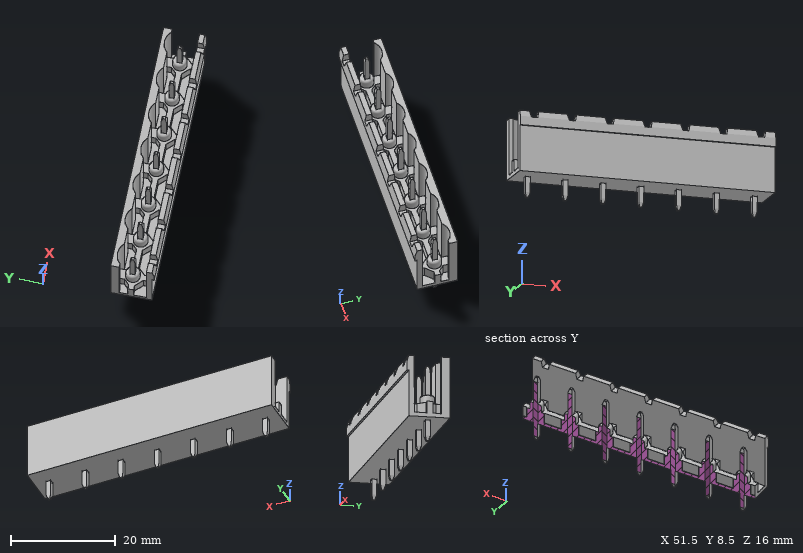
import cadquery as cq

PIN_COUNT = 7
PITCH = 7.62
END_MARGIN = 2.9
LENGTH = (PIN_COUNT - 1) * PITCH + 2 * END_MARGIN

HOUSING_HEIGHT = 12.0
FLOOR_THICKNESS = 0.8
BACK_OUTER_Y = 3.8
BACK_INNER_Y = 2.1
FRONT_INNER_Y = -3.2
FRONT_OUTER_Y = -4.3
SCALLOP_RADIUS = 3.0

LIP_FRONT_Y = -4.7
LIP_BOTTOM_Z = 9.0
LIP_BEVEL_Z = 10.7
NOTCH_TOP_WIDTH = 1.85
NOTCH_BOTTOM_WIDTH = 1.2

PLATFORM_TOP_Z = 3.1
RIB_BACK_Y = 0.45
RIB_FRONT_Y = -0.7
PLATFORM_HALF_WIDTH = 2.0
BACK_ARM_HALF_WIDTH = 1.0
FRONT_ARM_HALF_WIDTH = 0.55

BOSS_DIAMETER = 2.8
BOSS_TOP_Z = 4.8
BOSS_FILLET = 0.5

PIN_WIDTH = 1.0
PIN_TIP_WIDTH = 0.5
PIN_TIP_LENGTH = 0.9
PIN_BOTTOM_Z = -4.0
PIN_TOP_Z = 10.7

first_pin_x = -(PIN_COUNT - 1) * PITCH / 2
pin_positions = [first_pin_x + i * PITCH for i in range(PIN_COUNT)]


def make_trough():
    """U-shaped section with the latch lip, open at both ends."""
    section = [
        (BACK_OUTER_Y, 0),
        (BACK_OUTER_Y, HOUSING_HEIGHT),
        (BACK_INNER_Y, HOUSING_HEIGHT),
        (BACK_INNER_Y, FLOOR_THICKNESS),
        (FRONT_INNER_Y, FLOOR_THICKNESS),
        (FRONT_INNER_Y, HOUSING_HEIGHT),
        (FRONT_OUTER_Y, HOUSING_HEIGHT),
        (LIP_FRONT_Y, LIP_BEVEL_Z),
        (LIP_FRONT_Y, LIP_BOTTOM_Z),
        (FRONT_OUTER_Y, LIP_BOTTOM_Z),
        (FRONT_OUTER_Y, 0),
    ]
    return cq.Workplane("YZ").polyline(section).close().extrude(LENGTH / 2, both=True)


def make_scallop(x):
    """Cutter that hollows the back wall above the floor."""
    return (
        cq.Workplane("XY", origin=(x, 0, FLOOR_THICKNESS))
        .circle(SCALLOP_RADIUS)
        .extrude(HOUSING_HEIGHT - FLOOR_THICKNESS)
    )


def make_notch(x):
    """Tapered cutter through the top of the front wall."""
    half_top = NOTCH_TOP_WIDTH / 2
    half_bottom = NOTCH_BOTTOM_WIDTH / 2
    return (
        cq.Workplane("XZ", origin=(x, FRONT_INNER_Y, 0))
        .moveTo(-half_bottom, LIP_BEVEL_Z)
        .lineTo(half_bottom, LIP_BEVEL_Z)
        .lineTo(half_top, HOUSING_HEIGHT)
        .lineTo(-half_top, HOUSING_HEIGHT)
        .close()
        .extrude(FRONT_INNER_Y - LIP_FRONT_Y)
    )


def make_rib():
    """Low rib along the whole housing through the pin row."""
    return (
        cq.Workplane("XY")
        .moveTo(0, (RIB_BACK_Y + RIB_FRONT_Y) / 2)
        .rect(LENGTH, RIB_BACK_Y - RIB_FRONT_Y)
        .extrude(PLATFORM_TOP_Z)
    )


def make_platform(x):
    """Platform with 45 degree corners and arms that run into both walls."""
    back_corner_y = RIB_BACK_Y + PLATFORM_HALF_WIDTH - BACK_ARM_HALF_WIDTH
    front_corner_y = RIB_FRONT_Y - PLATFORM_HALF_WIDTH + FRONT_ARM_HALF_WIDTH
    right_side = [
        (FRONT_ARM_HALF_WIDTH, FRONT_INNER_Y),
        (FRONT_ARM_HALF_WIDTH, front_corner_y),
        (PLATFORM_HALF_WIDTH, RIB_FRONT_Y),
        (PLATFORM_HALF_WIDTH, RIB_BACK_Y),
        (BACK_ARM_HALF_WIDTH, back_corner_y),
        (BACK_ARM_HALF_WIDTH, BACK_OUTER_Y),
    ]
    left_side = [(-px, py) for px, py in reversed(right_side)]
    return (
        cq.Workplane("XY", origin=(x, 0, 0))
        .polyline(right_side + left_side)
        .close()
        .extrude(PLATFORM_TOP_Z)
    )


def make_boss(x):
    """Round collar with a rounded top edge."""
    return (
        cq.Workplane("XY", origin=(x, 0, 0))
        .circle(BOSS_DIAMETER / 2)
        .extrude(BOSS_TOP_Z)
        .faces(">Z")
        .edges()
        .fillet(BOSS_FILLET)
    )


def make_pin_hole(x):
    """Square cutter that the pin fills through the boss and floor."""
    return (
        cq.Workplane("XY", origin=(x, 0, 0))
        .rect(PIN_WIDTH, PIN_WIDTH)
        .extrude(BOSS_TOP_Z)
    )


def make_housing():
    body = make_trough()
    for x in pin_positions:
        body = body.cut(make_scallop(x)).cut(make_notch(x))
    body = body.union(make_rib())
    for x in pin_positions:
        body = body.union(make_platform(x)).union(make_boss(x)).cut(make_pin_hole(x))
    return body


def make_pin(x):
    """Square pin with a tapered tip at each end."""
    shank_bottom_z = PIN_BOTTOM_Z + PIN_TIP_LENGTH
    shank_top_z = PIN_TOP_Z - PIN_TIP_LENGTH
    shank = (
        cq.Workplane("XY", origin=(x, 0, shank_bottom_z))
        .rect(PIN_WIDTH, PIN_WIDTH)
        .extrude(shank_top_z - shank_bottom_z)
    )
    top_tip = (
        shank.faces(">Z")
        .workplane()
        .rect(PIN_WIDTH, PIN_WIDTH)
        .workplane(offset=PIN_TIP_LENGTH)
        .rect(PIN_TIP_WIDTH, PIN_TIP_WIDTH)
        .loft(combine=False)
    )
    bottom_tip = (
        shank.faces("<Z")
        .workplane()
        .rect(PIN_WIDTH, PIN_WIDTH)
        .workplane(offset=PIN_TIP_LENGTH)
        .rect(PIN_TIP_WIDTH, PIN_TIP_WIDTH)
        .loft(combine=False)
    )
    return shank.union(top_tip).union(bottom_tip)


housing = make_housing()
pins = [make_pin(x) for x in pin_positions]

result = cq.Compound.makeCompound(
    [*housing.solids().vals(), *[pin.solids().val() for pin in pins]]
)